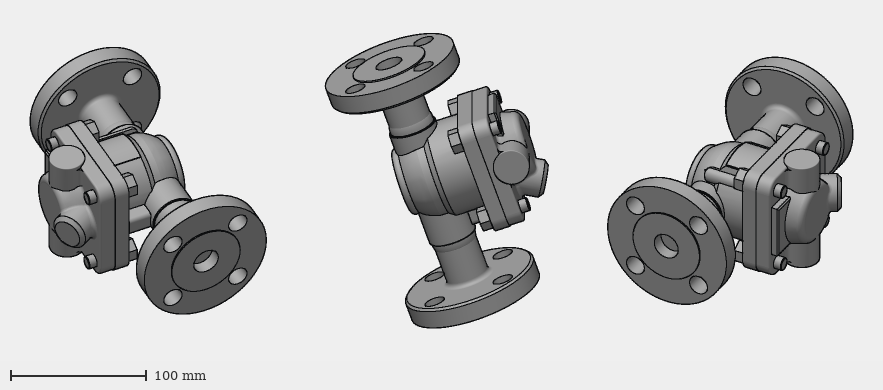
import cadquery as cq
import math

overall_length = 195.0
flange_diameter = 100.0
flange_thickness = 15.5
flange_chamfer = 1.8
raised_face_diameter = 56.0
raised_face_height = 1.2
bore_diameter = 20.0
bore_depth = 10.3
flange_hole_diameter = 15.0
flange_hole_circle = 75.0
pipe_diameter = 32.0
pipe_root_fillet = 3.5
weld_diameter = 33.5
weld_length = 6.0
neck_diameter = 36.0
neck_half_length = 45.5
neck_chamfer = 0.5

body_x = -6.0
body_back_y = 21.8
cap_radius = 25.5
cap_edge_radius = 3.1
cap_front_y = 16.2
waist_back_radius = 25.0
waist_bulge_y = 8.0
waist_bulge_radius = 30.5
waist_radius = 32.8
waist_back_y = 0.8
waist_front_y = -5.0
body_radius = 35.5
shoulder_length = 4.3
name_pad_height = 0.5
name_pad_left_x = -23.4
name_pad_right_x = 7.0

rib_radius = 5.8
rib_x = -28.3
rib_z = 22.2
rib_end_fillet = 4.0
rib_back_y = 4.7
groove_bottom_x = -26.5
groove_bottom_z = 23.0
groove_left_x = -29.6
groove_right_x = -23.4
groove_top_z = 32.2
groove_back_y = 7.0

block_outer_x = 40.8
block_half_height = 7.0
block_back_y = -17.2
block_fillet = 3.3

body_plate_x = -2.3
cover_x = -2.5
plate_back_y = -35.0
joint_y = -46.6
cover_front_y = -58.3
body_plate_side = 85.8
cover_side = 85.0
plate_corner_radius = 10.5
cover_edge_fillet = 1.5
body_plate_edge_fillet = 1.0
bolt_spacing = 64.2
bolt_x = -3.0
bolt_diameter = 10.0
bolt_end_y = -64.7
bolt_end_chamfer = 0.5
nut_across_flats = 15.6
nut_height = 8.0
nut_turn = 30.0

cover_root_fillet = 3.0
dome_front_y = -76.8
dome_base_radius = 27.7
dome_edge_y = -72.3
dome_edge_radius = 24.4
dome_face_radius = 18.3
dome_edge_bulge = 1.2
column_diameter = 26.5
column_half_height = 44.0
column_edge_fillet = 0.5
pad_left_x = -42.7
pad_half_height = 20.9
pad_front_y = -64.2
pad_chamfer = 1.2
plug_diameter = 28.0
plug_chamfer = 3.1
plug_angle = 30.0
plug_end_x = 26.3
plug_end_y = -79.0
plug_length = 31.2
plug_foot_fillet = 2.3


def y_cylinder(diameter, x, z, y_start, y_end):
    """Cylinder parallel to Y, from y_start toward the smaller y_end."""
    return cq.Workplane("XZ", origin=(x, y_start, z)).circle(diameter / 2).extrude(y_start - y_end)


def y_plate(side, x, y_back, y_front):
    """Square plate with rounded corners, its faces normal to Y."""
    return (
        cq.Workplane("XZ", origin=(x, y_back, 0))
        .rect(side, side)
        .extrude(y_back - y_front)
        .edges("|Y")
        .fillet(plate_corner_radius)
    )


def corner_bolt_places():
    half = bolt_spacing / 2
    return [(bolt_x + sx * half, sz * half) for sx in (-1, 1) for sz in (-1, 1)]


def pipe_end():
    """Flanged pipe stub and half of the neck, on the +X side."""
    face_x = overall_length / 2
    front_x = face_x - raised_face_height
    back_x = front_x - flange_thickness
    flange_radius = flange_diameter / 2
    pipe_radius = pipe_diameter / 2
    weld_radius = weld_diameter / 2
    fillet_mid = pipe_root_fillet * (1 - math.sqrt(0.5))
    weld_end_x = neck_half_length + weld_length
    profile = (
        cq.Workplane("XY")
        .moveTo(0, 0)
        .lineTo(0, neck_diameter / 2)
        .lineTo(neck_half_length - neck_chamfer, neck_diameter / 2)
        .lineTo(neck_half_length, neck_diameter / 2 - neck_chamfer)
        .lineTo(neck_half_length, weld_radius)
        .threePointArc((neck_half_length + weld_length / 2, weld_radius), (weld_end_x, pipe_radius))
        .lineTo(back_x - pipe_root_fillet, pipe_radius)
        .threePointArc(
            (back_x - fillet_mid, pipe_radius + fillet_mid),
            (back_x, pipe_radius + pipe_root_fillet),
        )
        .lineTo(back_x, flange_radius - flange_chamfer)
        .lineTo(back_x + flange_chamfer, flange_radius)
        .lineTo(front_x, flange_radius)
        .lineTo(front_x, raised_face_diameter / 2)
        .lineTo(face_x, raised_face_diameter / 2)
        .lineTo(face_x, 0)
        .close()
    )
    stub = profile.revolve(360, (0, 0, 0), (1, 0, 0))
    hole_offset = flange_hole_circle / 2 * math.sqrt(0.5)
    holes = (
        cq.Workplane("YZ", origin=(back_x, 0, 0))
        .rect(2 * hole_offset, 2 * hole_offset, forConstruction=True)
        .vertices()
        .circle(flange_hole_diameter / 2)
        .extrude(flange_thickness)
    )
    bore_floor = cq.Workplane("YZ", origin=(face_x - bore_depth, 0, 0))
    bore = bore_floor.circle(bore_diameter / 2).extrude(bore_depth)
    return stub.cut(holes).cut(bore)


def valve_body():
    """Turned body with its name pad, rib, groove and side block."""
    shoulder_front_y = waist_front_y - shoulder_length
    profile = (
        cq.Workplane("XY", origin=(body_x, 0, 0))
        .moveTo(0, body_back_y)
        .lineTo(cap_radius - cap_edge_radius, body_back_y)
        .threePointArc((cap_radius, body_back_y - cap_edge_radius), (waist_back_radius, cap_front_y))
        .threePointArc((waist_bulge_radius, waist_bulge_y), (waist_radius, waist_back_y))
        .lineTo(waist_radius, waist_front_y)
        .lineTo(body_radius, shoulder_front_y)
        .lineTo(body_radius, plate_back_y)
        .lineTo(0, plate_back_y)
        .close()
    )
    body = profile.revolve(360, (0, 0, 0), (0, 1, 0))

    pad_radius = body_radius + name_pad_height
    name_pad = y_cylinder(2 * pad_radius, body_x, 0, shoulder_front_y, plate_back_y).intersect(
        cq.Workplane("XY")
        .box(name_pad_right_x - name_pad_left_x, flange_diameter, pad_radius, centered=(False, True, False))
        .translate((name_pad_left_x, 0, 0))
    )
    rib = y_cylinder(2 * rib_radius, rib_x, rib_z, rib_back_y, plate_back_y)
    rib = rib.faces(">Y").edges().fillet(rib_end_fillet)
    groove = (
        cq.Workplane("XZ", origin=(0, groove_back_y, 0))
        .moveTo(groove_bottom_x, groove_bottom_z)
        .lineTo(groove_right_x, groove_top_z)
        .lineTo(groove_left_x, groove_top_z)
        .close()
        .extrude(groove_back_y - plate_back_y)
    )
    block = (
        cq.Workplane("XY")
        .box(
            block_outer_x - body_x,
            block_back_y - plate_back_y,
            2 * block_half_height,
            centered=(False, False, True),
        )
        .translate((body_x, plate_back_y, 0))
        .edges("|Y and >X")
        .fillet(block_fillet)
    )
    return body.union(name_pad).union(rib).cut(groove).union(block)


def cover_dome():
    """Dome on the cover, with a concave foot and a rounded front edge."""
    foot_mid = cover_root_fillet * (1 - math.sqrt(0.5))
    foot_radius = dome_base_radius + cover_root_fillet
    bend_radius = (dome_edge_radius + dome_face_radius) / 2
    profile = (
        cq.Workplane("XY", origin=(body_x, 0, 0))
        .moveTo(0, cover_front_y)
        .lineTo(foot_radius, cover_front_y)
        .threePointArc(
            (dome_base_radius + foot_mid, cover_front_y - foot_mid),
            (dome_base_radius, cover_front_y - cover_root_fillet),
        )
        .lineTo(dome_edge_radius, dome_edge_y)
        .threePointArc(
            (bend_radius + dome_edge_bulge, (dome_edge_y + dome_front_y) / 2 - dome_edge_bulge),
            (dome_face_radius, dome_front_y),
        )
        .lineTo(0, dome_front_y)
        .close()
    )
    return profile.revolve(360, (0, 0, 0), (0, 1, 0))


def column():
    """Vertical cylinder flush with the dome face, joined to the cover."""
    radius = column_diameter / 2
    center_y = dome_front_y + radius
    cylinder = (
        cq.Workplane("XY", origin=(body_x, center_y, -column_half_height))
        .circle(radius)
        .extrude(2 * column_half_height)
        .edges()
        .fillet(column_edge_fillet)
    )
    foot_y = cover_front_y - cover_root_fillet
    foot_x = math.sqrt((radius + cover_root_fillet) ** 2 - (foot_y - center_y) ** 2)
    touch = radius / (radius + cover_root_fillet)
    touch_x = touch * foot_x
    touch_y = center_y + touch * (foot_y - center_y)
    middle = cover_root_fillet * math.sqrt(0.5)
    web_half_height = cover_side / 2 - cover_edge_fillet
    web = (
        cq.Workplane("XY", origin=(body_x, 0, -web_half_height))
        .moveTo(foot_x, cover_front_y)
        .threePointArc((foot_x - middle, foot_y + middle), (touch_x, touch_y))
        .lineTo(-touch_x, touch_y)
        .threePointArc((middle - foot_x, foot_y + middle), (-foot_x, cover_front_y))
        .close()
        .extrude(2 * web_half_height)
    )
    return cylinder.union(web)


def side_pad():
    return (
        cq.Workplane("XY")
        .box(
            body_x - pad_left_x,
            cover_front_y - pad_front_y,
            2 * pad_half_height,
            centered=(False, False, True),
        )
        .translate((pad_left_x, pad_front_y, 0))
        .faces("<Y")
        .edges("<X or >Z or <Z")
        .chamfer(pad_chamfer)
    )


def slanted_plug():
    tilt = math.radians(plug_angle)
    inward = (-math.sin(tilt), math.cos(tilt), 0)
    end_plane = cq.Plane(origin=(plug_end_x, plug_end_y, 0), xDir=(0, 0, 1), normal=inward)
    plug = cq.Workplane(end_plane).circle(plug_diameter / 2).extrude(plug_length)
    outer_face = cq.selectors.DirectionMinMaxSelector(cq.Vector(inward), False)
    return plug.faces(outer_face).edges().chamfer(plug_chamfer)


def bolts():
    """Bolt ends on the cover and hexagon nuts behind the body plate."""
    nut_diameter = nut_across_flats / math.cos(math.pi / 6)
    nut = (
        cq.Workplane("XZ", origin=(0, plate_back_y + nut_height, 0))
        .polygon(6, nut_diameter)
        .extrude(nut_height)
        .rotate((0, 0, 0), (0, 1, 0), nut_turn)
    )
    bolt = y_cylinder(bolt_diameter, 0, 0, joint_y, bolt_end_y).faces("<Y").chamfer(bolt_end_chamfer)
    return [part.translate((x, 0, z)) for x, z in corner_bolt_places() for part in (nut, bolt)]


def cover():
    """Cover plate with its dome, column, pad and plug."""
    plate = y_plate(cover_side, cover_x, joint_y, cover_front_y).faces("<Y").edges().fillet(cover_edge_fillet)
    plugged = plate.union(cover_dome()).union(slanted_plug())
    plug_foot = plugged.edges().filter(
        lambda edge: edge.geomType() not in ("LINE", "CIRCLE") and edge.BoundingBox().xmin > body_x
    )
    return plug_foot.fillet(plug_foot_fillet).union(column()).union(side_pad())


body_plate = y_plate(body_plate_side, body_plate_x, plate_back_y, joint_y)
body_plate = body_plate.faces(">Y").edges().fillet(body_plate_edge_fillet)
outlet = pipe_end()
result = outlet.union(outlet.mirror("YZ")).union(valve_body()).union(body_plate).union(cover())
for part in bolts():
    result = result.union(part)